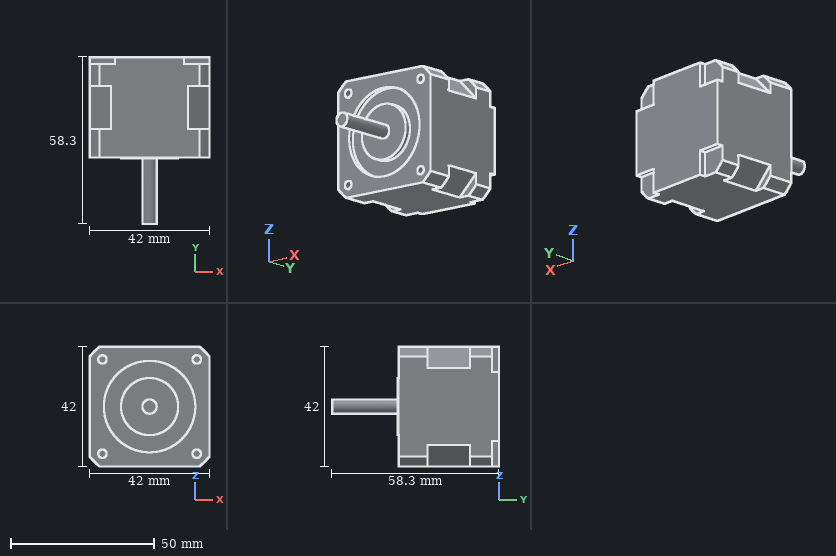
import cadquery as cq

body_width = 42.0
total_length = 58.3
body_length = 35.1
front_face_y = 0.0
rear_face_y = front_face_y + body_length
shaft_tip_y = rear_face_y - total_length

corner_round_diameter = 54.55
middle_chamfer = 7.5
middle_cut_start = 10.0
middle_cut_length = 14.9
rear_notch = 9.0
rear_notch_depth = 2.45

shaft_diameter = 5.0
boss_diameter = 20.0
boss_height = 0.35
recess_diameter = 32.0
recess_depth = 2.0
hole_diameter = 3.0
hole_spacing = 32.95
hole_depth = 4.5


def square_block(start_y, length):
    """Full-width square block along Y."""
    block = cq.Workplane("XY").box(body_width, length, body_width)
    return block.translate((0, start_y + length / 2, 0))


def plane_at(y):
    """Plane whose normal points toward +Y."""
    return cq.Workplane("XZ", origin=(0, y, 0)).transformed(rotate=(180, 0, 0))


def cylinder(start_y, end_y, diameter):
    return plane_at(start_y).circle(diameter / 2).extrude(end_y - start_y)


body = square_block(front_face_y, body_length)
body = body.intersect(cylinder(front_face_y, rear_face_y, corner_round_diameter))

middle = square_block(middle_cut_start, middle_cut_length)
middle_corners = middle.cut(middle.edges("|Y").chamfer(middle_chamfer))
body = body.cut(middle_corners)

notches = (
    plane_at(rear_face_y - rear_notch_depth)
    .rect(body_width - rear_notch, body_width - rear_notch, forConstruction=True)
    .vertices()
    .rect(rear_notch, rear_notch)
    .extrude(rear_notch_depth)
)
body = body.cut(notches)

body = body.cut(cylinder(front_face_y, front_face_y + recess_depth, recess_diameter))
boss_front_y = front_face_y - boss_height
body = body.union(cylinder(boss_front_y, front_face_y + recess_depth, boss_diameter))

holes = (
    plane_at(front_face_y)
    .rect(hole_spacing, hole_spacing, forConstruction=True)
    .vertices()
    .circle(hole_diameter / 2)
    .extrude(hole_depth)
)
body = body.cut(holes)

result = body.union(cylinder(shaft_tip_y, front_face_y, shaft_diameter))